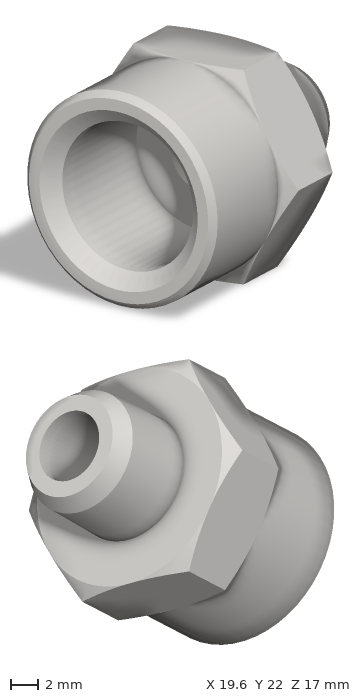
import cadquery as cq
import math

total_length = 22.0
socket_length = 8.5
hex_length = 6.0
hex_end = socket_length + hex_length

across_flats = 17.0
body_radius = across_flats / 2
corner_radius = body_radius / math.cos(math.radians(30))
hex_chamfer_angle = 30.0
socket_chamfer = 0.5

spigot_base_radius = 5.0
taper_per_length = 1 / 32
nose_length = 1.4
nose_angle = 30.0

socket_bore_radius = 5.85
socket_bore_depth = 11.0
socket_mouth_radius = 7.06
passage_radius = 2.75


def revolve_about_y(points):
    """Revolve a closed (radius, axial position) outline about the Y axis."""
    return cq.Workplane("XY").polyline(points).close().revolve(360, (0, 0, 0), (0, 1, 0))


def make_socket_body():
    return revolve_about_y([
        (0, 0),
        (body_radius - socket_chamfer, 0),
        (body_radius, socket_chamfer),
        (body_radius, socket_length),
        (0, socket_length),
    ])


def make_hexagon():
    """Hexagon with corners on X, its corners trimmed by a cone at each end."""
    prism = (
        cq.Workplane("XZ", origin=(0, socket_length, 0))
        .polygon(6, 2 * corner_radius)
        .extrude(-hex_length)
    )
    corner_drop = (corner_radius - body_radius) * math.tan(math.radians(hex_chamfer_angle))
    trimming_cones = revolve_about_y([
        (0, socket_length),
        (body_radius, socket_length),
        (corner_radius, socket_length + corner_drop),
        (corner_radius, hex_end - corner_drop),
        (body_radius, hex_end),
        (0, hex_end),
    ])
    return prism.intersect(trimming_cones)


def make_spigot():
    nose_start = total_length - nose_length
    nose_radius = spigot_base_radius - (nose_start - hex_end) * taper_per_length
    tip_radius = nose_radius - nose_length * math.tan(math.radians(nose_angle))
    return revolve_about_y([
        (0, hex_end),
        (spigot_base_radius, hex_end),
        (nose_radius, nose_start),
        (tip_radius, total_length),
        (0, total_length),
    ])


def make_bores():
    """Socket bore with a 45 degree mouth, continued by the through passage."""
    mouth_depth = socket_mouth_radius - socket_bore_radius
    return revolve_about_y([
        (0, 0),
        (socket_mouth_radius, 0),
        (socket_bore_radius, mouth_depth),
        (socket_bore_radius, socket_bore_depth),
        (passage_radius, socket_bore_depth),
        (passage_radius, total_length),
        (0, total_length),
    ])


result = make_socket_body().union(make_hexagon()).union(make_spigot()).cut(make_bores())